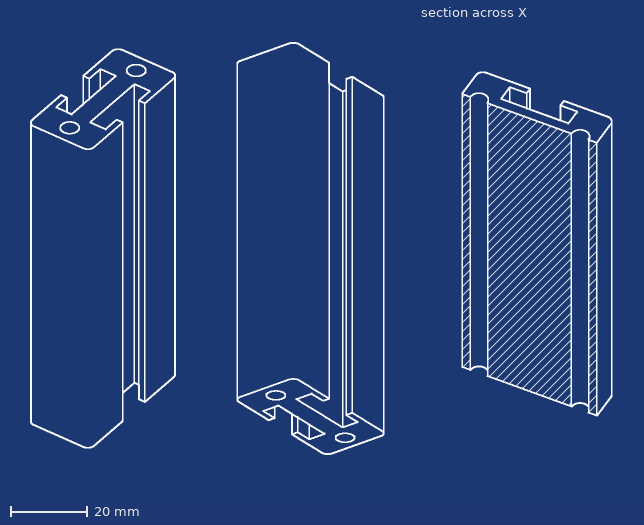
import cadquery as cq

width = 20.0
depth = 40.0
length = 100.0
corner_radius = 2.0

lip_thickness = 2.0
web_thickness = 6.0
slot_opening = 10.0
slot_cavity = 20.0

bore_diameter = 5.0
bore_spacing = 30.0


def make_bar():
    """Rectangular bar with rounded lengthwise edges, centred on the origin."""
    return cq.Workplane("XY").box(width, depth, length).edges("|Z").fillet(corner_radius)


def make_t_slot(side):
    """T-slot cutter for the face on the given side (-1 or +1) of X."""
    cavity_floor = web_thickness / 2
    lip_inside = width / 2 - lip_thickness
    half_outline = [
        (side * cavity_floor, slot_cavity / 2),
        (side * lip_inside, slot_cavity / 2),
        (side * lip_inside, slot_opening / 2),
        (side * width / 2, slot_opening / 2),
    ]
    mirrored_half = [(x, -y) for x, y in reversed(half_outline)]
    outline = cq.Workplane("XY").polyline(half_outline + mirrored_half).close()
    return outline.extrude(length / 2, both=True)


def make_bores():
    """Pair of round cutters running the full length of the bar."""
    centres = [(0, -bore_spacing / 2), (0, bore_spacing / 2)]
    circles = cq.Workplane("XY").pushPoints(centres).circle(bore_diameter / 2)
    return circles.extrude(length / 2, both=True)


result = make_bar()
for side in (-1, 1):
    result = result.cut(make_t_slot(side))
result = result.cut(make_bores())